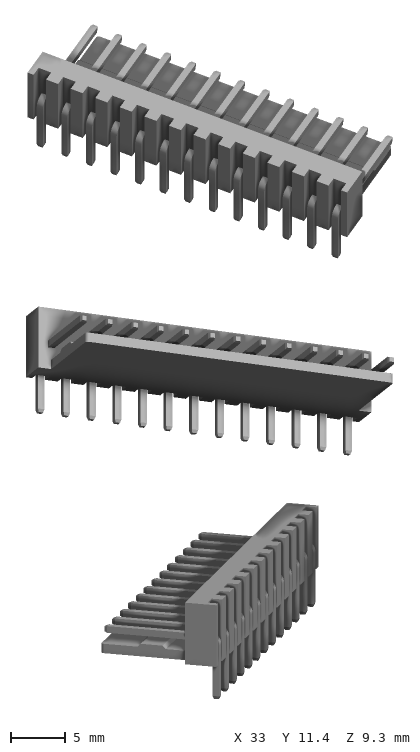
import cadquery as cq


pin_count = 13
pitch = 2.54
row_length = (pin_count - 1) * pitch

body_length = pin_count * pitch
body_depth = 3.0
body_height = 5.9
groove_width = 1.3
groove_depth = 1.0

ledge_reach = 8.4
ledge_length = row_length
ledge_thickness = 0.9
ledge_corner_radius = 0.3
ledge_tip_y = body_depth + ledge_reach

ridge_height = 0.3
ridge_setback = 2.2
ridge_width = 2.7
ridge_front_y = body_depth + ridge_setback
ridge_back_y = ridge_front_y + ridge_width

pin_size = 0.64
pin_axis_z = 2.4
pin_drop = 3.4
pin_rear_reach = 8.0
pin_bend_radius = 0.92
pin_tip_length = 0.3
pin_tip_inset = 0.1
pin_top_z = pin_axis_z + pin_size / 2
pin_bottom_z = pin_axis_z - pin_size / 2
pin_rear_y = body_depth + pin_rear_reach
pin_tip_size = pin_size - 2 * pin_tip_inset


def pin_positions():
    first = -row_length / 2
    return [first + i * pitch for i in range(pin_count)]


def make_housing():
    housing = cq.Workplane("XY").box(body_length, body_depth, body_height, centered=(True, False, False))
    groove = cq.Workplane("XY").box(groove_width, groove_depth, body_height, centered=(True, False, False))
    for x in pin_positions():
        housing = housing.cut(groove.translate((x, 0, 0)))
    return housing


def make_ledge():
    profile = [
        (body_depth, 0),
        (ledge_tip_y, 0),
        (ledge_tip_y, ledge_thickness),
        (ridge_back_y, ledge_thickness),
        (ridge_back_y - ridge_height, ledge_thickness + ridge_height),
        (ridge_front_y + ridge_height, ledge_thickness + ridge_height),
        (ridge_front_y, ledge_thickness),
        (body_depth, ledge_thickness),
    ]
    ledge = cq.Workplane("YZ").polyline(profile).close().extrude(ledge_length / 2, both=True)
    return ledge.faces(">Y").edges("|Z").fillet(ledge_corner_radius)


def make_tip(base_plane):
    """Tapered pin end, growing from a full-size square along the plane normal."""
    return (
        cq.Workplane(base_plane)
        .rect(pin_size, pin_size)
        .workplane(offset=pin_tip_length)
        .rect(pin_tip_size, pin_tip_size)
        .loft(ruled=True)
    )


def make_pin():
    """One L-shaped pin at X = 0, rounded on the outside of its bend."""
    rear_y = pin_rear_y - pin_tip_length
    lower_z = pin_tip_length - pin_drop
    profile = [
        (0, lower_z),
        (pin_size, lower_z),
        (pin_size, pin_bottom_z),
        (rear_y, pin_bottom_z),
        (rear_y, pin_top_z),
        (0, pin_top_z),
    ]
    shank = cq.Workplane("YZ").polyline(profile).close().extrude(pin_size / 2, both=True)
    shank = shank.faces("<Y").edges(">Z").fillet(pin_bend_radius)
    rear_plane = cq.Plane(origin=(0, rear_y, pin_axis_z), xDir=(1, 0, 0), normal=(0, 1, 0))
    lower_plane = cq.Plane(origin=(0, pin_size / 2, lower_z), xDir=(1, 0, 0), normal=(0, 0, -1))
    return shank.union(make_tip(rear_plane)).union(make_tip(lower_plane))


result = make_housing().union(make_ledge())
pin = make_pin()
for pin_x in pin_positions():
    result = result.union(pin.translate((pin_x, 0, 0)))